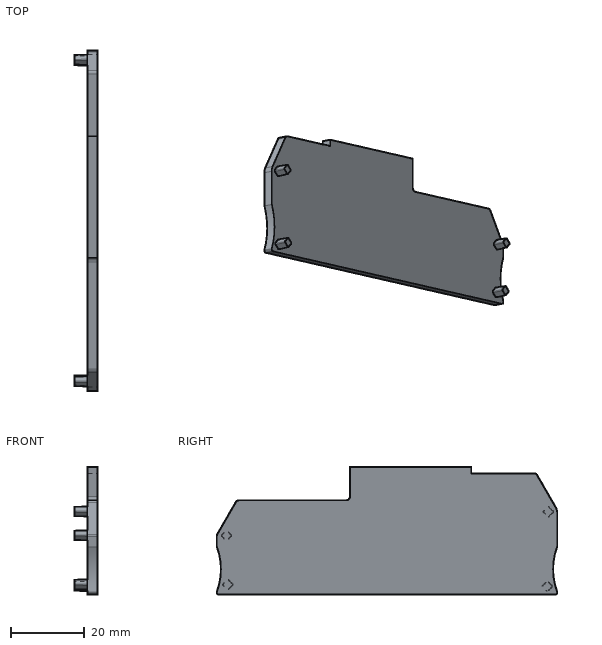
import cadquery as cq
import math

plate_thickness = 2.8
plate_length = 92.7
plate_height = 34.75

high_shelf_z = 33.0
low_shelf_z = 25.7
high_shelf_step_y = 23.0
low_shelf_step_y = -10.1
step_radius = 1.0

shoulder_angle = 60.0
high_shoulder_y = 40.6
low_shoulder_y = -40.9
shoulder_radius = 1.0
high_foot_radius = 2.8
low_foot_radius = 1.0

grip_bottom = 0.7
grip_top = 13.1
grip_depth = 1.1
bottom_corner_radius = 0.6

peg_length = 3.5
peg_side = 2.1
peg_corner_radius = 0.3
peg_taper = 1.5
peg_tilt = 45.0
peg_centers = [
    (43.8, 22.6),
    (43.6, 2.3),
    (-43.7, 16.1),
    (-43.4, 2.8),
]

half_length = plate_length / 2
grip_middle = (grip_bottom + grip_top) / 2
grip_floor_y = half_length - grip_depth


def shoulder_foot(shelf_z, shoulder_y):
    """Height at which a sloped shoulder meets the end of the plate."""
    run = half_length - abs(shoulder_y)
    return shelf_z - run * math.tan(math.radians(shoulder_angle))


def round_corner(body, y, z, radius):
    """Fillet the edge along X that passes through (y, z)."""
    corner = cq.selectors.NearestToPointSelector((plate_thickness / 2, y, z))
    return body.edges("|X").edges(corner).fillet(radius)


def make_plate():
    """Extrude the stepped outline and round its corners."""
    high_foot_z = shoulder_foot(high_shelf_z, high_shoulder_y)
    low_foot_z = shoulder_foot(low_shelf_z, low_shoulder_y)
    plate = (
        cq.Workplane("YZ")
        .moveTo(-half_length, 0)
        .lineTo(half_length, 0)
        .lineTo(half_length, grip_bottom)
        .threePointArc((grip_floor_y, grip_middle), (half_length, grip_top))
        .lineTo(half_length, high_foot_z)
        .lineTo(high_shoulder_y, high_shelf_z)
        .lineTo(high_shelf_step_y, high_shelf_z)
        .lineTo(high_shelf_step_y, plate_height)
        .lineTo(low_shelf_step_y, plate_height)
        .lineTo(low_shelf_step_y, low_shelf_z)
        .lineTo(low_shoulder_y, low_shelf_z)
        .lineTo(-half_length, low_foot_z)
        .lineTo(-half_length, grip_top)
        .threePointArc((-grip_floor_y, grip_middle), (-half_length, grip_bottom))
        .close()
        .extrude(plate_thickness)
    )
    rounded_corners = [
        (high_shoulder_y, high_shelf_z, shoulder_radius),
        (half_length, high_foot_z, high_foot_radius),
        (low_shoulder_y, low_shelf_z, shoulder_radius),
        (-half_length, low_foot_z, low_foot_radius),
        (low_shelf_step_y, low_shelf_z, step_radius),
        (half_length, 0, bottom_corner_radius),
        (-half_length, 0, bottom_corner_radius),
    ]
    for y, z, radius in rounded_corners:
        plate = round_corner(plate, y, z, radius)
    return plate


def make_pegs():
    """Pegs grow toward -X and narrow slightly toward their tips."""
    base = cq.Sketch().rect(peg_side, peg_side, angle=peg_tilt)
    base = base.vertices().fillet(peg_corner_radius)
    pegs = cq.Workplane("YZ").pushPoints(peg_centers).placeSketch(base)
    return pegs.extrude(-peg_length, taper=peg_taper)


result = make_plate().union(make_pegs())